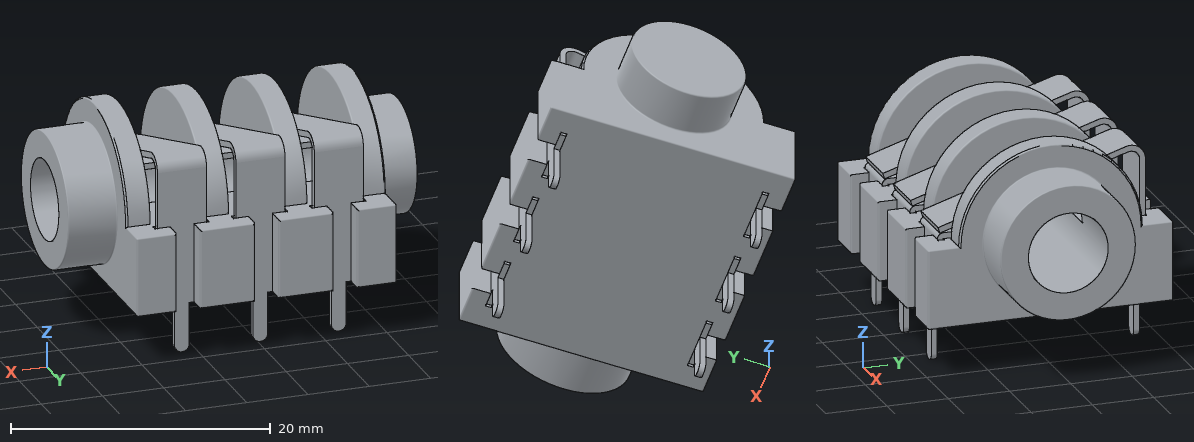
import cadquery as cq
import math

length = 28.8
nose_length = 3.6
nose_diameter = 9.4
collar_length = 4.0
collar_diameter = 11.0
bore_diameter = 6.5

base_width = 20.0
base_height = 6.5
disc_radius = 7.5
disc_thickness = 2.0
edge_radius = 0.15
collar_edge_radius = 0.1

base_length = length - nose_length - collar_length
contact_count = 3
contact_pitch = (base_length - disc_thickness) / contact_count
gap_width = contact_pitch - disc_thickness
base_start = nose_length
disc_starts = [base_start + i * contact_pitch for i in range(contact_count + 1)]
contact_centres = [start + disc_thickness + gap_width / 2 for start in disc_starts[:contact_count]]

strip_thickness = 0.5
strip_width = 4.0
strip_outer_y = 8.5
strip_inner_y = strip_outer_y - strip_thickness
side_opening_width = 1.95
pin_length = 4.0
pin_width = 1.2
pin_tip_radius = 0.58

bend_outer_radius = 1.25
bend_inner_radius = bend_outer_radius - strip_thickness
bend_centre_y = strip_outer_y - bend_outer_radius
bend_centre_z = 4.55
spring_tip_y = -8.3


def rod(start, end, diameter):
    """Cylinder along the X axis between two X positions."""
    return cq.Workplane("YZ", origin=(start, 0, 0)).circle(diameter / 2).extrude(end - start)


def slot_cutter(x, y_inner, y_outer, width):
    """Two mirrored boxes through the height of the base, between two distances from the XZ plane."""
    return (
        cq.Workplane("XY", origin=(x, 0, 0))
        .pushPoints([(0, side * (y_inner + y_outer) / 2) for side in (-1, 1)])
        .rect(width, y_outer - y_inner)
        .extrude(-base_height)
    )


def make_disc(start):
    """Half disc with rounded rims towards the gaps; its foot is sunk into the base."""
    disc = rod(start, start + disc_thickness, 2 * disc_radius)
    if start != disc_starts[0]:
        disc = disc.faces("<X").edges().fillet(edge_radius)
    if start != disc_starts[-1]:
        disc = disc.faces(">X").edges().fillet(edge_radius)
    foot_depth = 2 * edge_radius
    keep = cq.Workplane("XY", origin=(start, 0, -foot_depth)).box(
        disc_thickness, 2 * disc_radius, disc_radius + foot_depth, centered=(False, True, False)
    )
    return disc.intersect(keep)


def make_frame():
    """Base with its half discs; contact slots run down both sides and open outwards."""
    frame = cq.Workplane("XY", origin=(base_start, 0, -base_height)).box(
        base_length, base_width, base_height, centered=(False, True, False)
    )
    for start in disc_starts:
        frame = frame.union(make_disc(start), clean=True)
    for x in contact_centres:
        frame = frame.cut(slot_cutter(x, strip_outer_y, base_width / 2, side_opening_width))
    frame = frame.faces("<X or >X or <Y or >Y").edges().fillet(edge_radius)
    for x in contact_centres:
        frame = frame.cut(slot_cutter(x, strip_inner_y, strip_outer_y, gap_width))
    return frame


def make_stub(stub_length, diameter, fillet):
    """Round stub from its free end at X = 0: convex fillet there, concave fillet at its root."""
    radius = diameter / 2
    bend = fillet * math.sqrt(0.5)
    return (
        cq.Workplane("XY")
        .lineTo(0, radius - fillet)
        .threePointArc((fillet - bend, radius - fillet + bend), (fillet, radius))
        .lineTo(stub_length - fillet, radius)
        .threePointArc(
            (stub_length - fillet + bend, radius + fillet - bend),
            (stub_length, radius + fillet),
        )
        .lineTo(stub_length, 0)
        .close()
        .revolve(360, (0, 0, 0), (1, 0, 0))
    )


def make_housing():
    """Frame, closed nose at -X and bored collar at +X as one solid."""
    nose = make_stub(nose_length, nose_diameter, edge_radius)
    collar = make_stub(collar_length, collar_diameter, collar_edge_radius)
    collar = collar.mirror("YZ").translate((length, 0, 0))
    bore_start = base_start + disc_thickness
    bore = rod(bore_start, length, bore_diameter)
    return make_frame().union(nose).union(collar).cut(bore)


def make_pin(x, y):
    """Narrow leg with a rounded tip below the base; y is the middle of its thickness."""
    pin = cq.Workplane("XY", origin=(x, y, -base_height)).box(
        pin_width, strip_thickness, pin_length, centered=(True, True, False)
    ).translate((0, 0, -pin_length))
    return pin.faces("<Z").edges("|Y").fillet(pin_tip_radius)


def extrude_strip(x, profile):
    """Extrude a YZ profile over the strip width, centred on x."""
    return profile.extrude(strip_width / 2, both=True).translate((x, 0, 0))


def make_fixed_contact(x):
    """Upright strip on the -Y side, bent inward to lie on the base up to the bore."""
    bend_point = strip_thickness * math.sqrt(0.5)
    profile = (
        cq.Workplane("YZ")
        .moveTo(-strip_outer_y, -base_height)
        .lineTo(-strip_outer_y, 0)
        .threePointArc((-strip_inner_y - bend_point, bend_point), (-strip_inner_y, strip_thickness))
        .lineTo(-bore_diameter / 2, strip_thickness)
        .lineTo(-bore_diameter / 2, 0)
        .lineTo(-strip_inner_y, 0)
        .lineTo(-strip_inner_y, -base_height)
        .close()
    )
    pin_y = -(strip_outer_y + strip_inner_y) / 2
    return extrude_strip(x, profile).union(make_pin(x, pin_y))


def make_spring(x):
    """Upright strip on the +Y side whose arm slopes down until its tip rests on the fixed contact."""
    rise = bend_centre_z - strip_thickness
    reach = bend_centre_y - spring_tip_y
    slope = math.atan2(rise, reach) + math.asin(bend_inner_radius / math.hypot(rise, reach))

    def bend_point(radius, angle):
        return (bend_centre_y + radius * math.cos(angle), bend_centre_z + radius * math.sin(angle))

    bend_end = math.pi / 2 + slope
    tip_top = (
        spring_tip_y - strip_thickness * math.sin(slope),
        strip_thickness + strip_thickness * math.cos(slope),
    )
    profile = (
        cq.Workplane("YZ")
        .moveTo(strip_outer_y, -base_height)
        .lineTo(strip_outer_y, bend_centre_z)
        .threePointArc(bend_point(bend_outer_radius, bend_end / 2), bend_point(bend_outer_radius, bend_end))
        .lineTo(*tip_top)
        .lineTo(spring_tip_y, strip_thickness)
        .lineTo(*bend_point(bend_inner_radius, bend_end))
        .threePointArc(bend_point(bend_inner_radius, bend_end / 2), (strip_inner_y, bend_centre_z))
        .lineTo(strip_inner_y, -base_height)
        .close()
    )
    pin_y = (strip_outer_y + strip_inner_y) / 2
    return extrude_strip(x, profile).union(make_pin(x, pin_y))


housing = make_housing()
fixed_contacts = [make_fixed_contact(x) for x in contact_centres]
springs = [make_spring(x) for x in contact_centres]

result = cq.Compound.makeCompound(
    [housing.val()] + [body.val() for body in fixed_contacts + springs]
)